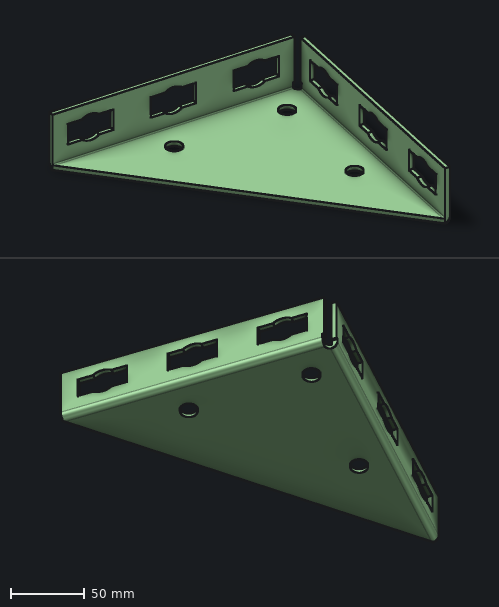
import cadquery as cq
import math

leg_length = 200
height = 45.0
thickness = 4
inner_bend_radius = 1.0
outer_bend_radius = inner_bend_radius + thickness

wall_gap = 6.8
relief_radius = 4
relief_reach = thickness + relief_radius

hole_diameter = 12.5
hole_inset = 26
hole_spacing = 90

slot_length = 36
slot_height = 16.5
slot_circle_diameter = 21.2
slot_spacing = 66
slot_drop = 20
slot_center_z = height - slot_drop
slot_center_x = (wall_gap + leg_length) / 2


def make_wall():
    """Upright wall along X with the fold that joins it to the base plate."""
    arc_offset = outer_bend_radius * (1 - math.sqrt(0.5))
    inner_arc_middle = thickness + inner_bend_radius * (1 - math.sqrt(0.5))
    wall = (
        cq.Workplane("YZ", origin=(wall_gap, 0, 0))
        .moveTo(-outer_bend_radius, 0)
        .threePointArc((-arc_offset, arc_offset), (0, outer_bend_radius))
        .lineTo(0, height)
        .lineTo(-thickness, height)
        .lineTo(-thickness, outer_bend_radius)
        .threePointArc((-inner_arc_middle, inner_arc_middle), (-outer_bend_radius, thickness))
        .close()
        .extrude(leg_length - wall_gap)
    )
    fold_notch = cq.Workplane("XY").box(
        relief_reach, thickness, relief_reach, centered=False
    ).translate((0, -thickness, 0))
    return wall.cut(fold_notch).cut(make_wall_openings())


def make_wall_openings():
    """Cutters for the row of slots through one wall."""
    centers = [(slot_center_x + step * slot_spacing, slot_center_z) for step in (-1, 0, 1)]
    face = cq.Workplane("XZ").pushPoints(centers)
    slots = face.rect(slot_length, slot_height).extrude(thickness)
    circles = face.circle(slot_circle_diameter / 2).extrude(thickness)
    return slots.union(circles)


def swap_legs(body):
    """Reflect a body across the bracket's diagonal, from the X leg to the Y leg."""
    return body.mirror("XZ").rotate((0, 0, 0), (0, 0, 1), -90)


def make_base():
    """Flat base plate between the folds, with its holes."""
    side = leg_length - outer_bend_radius
    plate = (
        cq.Workplane("XY")
        .box(side, side, thickness, centered=False)
        .translate((outer_bend_radius, -leg_length, 0))
    )
    far_hole = hole_inset + hole_spacing
    holes = (
        cq.Workplane("XY")
        .pushPoints([(hole_inset, -hole_inset), (far_hole, -hole_inset), (hole_inset, -far_hole)])
        .circle(hole_diameter / 2)
        .extrude(thickness)
    )
    return plate.cut(holes)


def make_corner_relief():
    """Round cutter where the two folds meet, reaching the top of the fold's inner radius."""
    return (
        cq.Workplane("XY")
        .center(thickness, -thickness)
        .circle(relief_radius)
        .extrude(outer_bend_radius)
    )


def make_diagonal_trim():
    """Triangular cutter that leaves the long edge running between the ends of the two walls."""
    return (
        cq.Workplane("XY")
        .moveTo(leg_length, -thickness)
        .lineTo(leg_length, -leg_length)
        .lineTo(thickness, -leg_length)
        .close()
        .extrude(height)
    )


wall_along_x = make_wall()
wall_along_y = swap_legs(wall_along_x)
folded_sheet = make_base().union(wall_along_x).union(wall_along_y)
result = folded_sheet.cut(make_corner_relief()).cut(make_diagonal_trim())